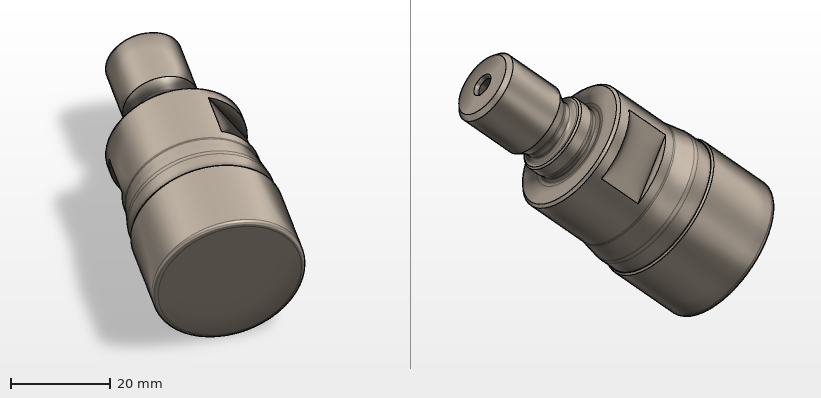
import cadquery as cq
import math


stud_radius = 8.0
stud_length = 14.0
stud_chamfer = 1.0

neck_radius = 6.5
neck_cone_angle = math.radians(30)
neck_fillet = 1.0

collar_start = 19.0
collar_radius = 8.5
collar_chamfer = 0.4

relief_length = 2.0
relief_depth = 0.2
relief_face_depth = 0.1
relief_ramp_angle = math.radians(15)
relief_fillet = 0.6
relief_outer_radius = 9.75

flange_start = 24.0
flange_radius = 14.5
flange_chamfer = 0.6

taper_start = 39.35
taper_angle = math.radians(11)
taper_start_fillet = 2.0
shoulder_radius = 15.5
taper_end_fillet = 5.0

head_start = 48.5
head_radius = 16.0
head_chamfer = 0.4
head_end_fillet = 1.0
total_length = 66.0

flat_start = 27.0
flat_length = 10.0
across_flats = 24.0
flat_tilt = 30.0

hole_radius = 2.0
hole_mouth_radius = 2.5
hole_countersink_half_angle = math.radians(30)
hole_depth = 10.0
hole_tip_half_angle = math.radians(59)


def rounded_corner(profile, before, corner, after, radius):
    """Run the profile to a corner and replace the corner by a tangent arc."""
    corner_point = cq.Vector(*corner)
    to_before = (cq.Vector(*before) - corner_point).normalized()
    to_after = (cq.Vector(*after) - corner_point).normalized()
    half_angle = to_before.getAngle(to_after) / 2
    setback = radius / math.tan(half_angle)
    bisector = (to_before + to_after).normalized()
    middle_distance = radius / math.sin(half_angle) - radius
    arc_start = corner_point + to_before * setback
    arc_middle = corner_point + bisector * middle_distance
    arc_end = corner_point + to_after * setback
    return profile.lineTo(arc_start.x, arc_start.y).threePointArc(
        (arc_middle.x, arc_middle.y), (arc_end.x, arc_end.y)
    )


def make_body():
    """Revolve the half profile (X along the axis, Y as radius)."""
    stud_end = (stud_length, stud_radius)
    neck_cone_length = (stud_radius - neck_radius) / math.tan(neck_cone_angle)
    neck_start = (stud_length + neck_cone_length, neck_radius)
    neck_end = (collar_start, neck_radius)
    collar_edge = (collar_start, collar_radius - collar_chamfer)

    relief_radius = collar_radius - relief_depth
    relief_start = flange_start - relief_length
    relief_ramp_length = relief_depth / math.tan(relief_ramp_angle)
    relief_wall = flange_start + relief_face_depth
    ramp_start = (relief_start, collar_radius)
    ramp_end = (relief_start + relief_ramp_length, relief_radius)
    relief_corner = (relief_wall, relief_radius)
    relief_arc_end = (relief_wall, relief_radius + relief_fillet)

    taper_length = (shoulder_radius - flange_radius) / math.tan(taper_angle)
    flange_edge = (flange_start + flange_chamfer, flange_radius)
    taper_foot = (taper_start, flange_radius)
    taper_top = (taper_start + taper_length, shoulder_radius)
    shoulder_end = (head_start, shoulder_radius)

    head_edge = (head_start + head_chamfer, head_radius)
    head_corner = (total_length, head_radius)
    end_centre = (total_length, 0)

    profile = (
        cq.Workplane("XY")
        .lineTo(0, stud_radius - stud_chamfer)
        .lineTo(stud_chamfer, stud_radius)
        .lineTo(*stud_end)
    )
    profile = rounded_corner(profile, stud_end, neck_start, neck_end, neck_fillet)
    profile = rounded_corner(profile, neck_start, neck_end, collar_edge, neck_fillet)
    profile = (
        profile.lineTo(*collar_edge)
        .lineTo(collar_start + collar_chamfer, collar_radius)
        .lineTo(*ramp_start)
    )
    profile = rounded_corner(profile, ramp_start, ramp_end, relief_corner, relief_fillet)
    profile = rounded_corner(profile, ramp_end, relief_corner, relief_arc_end, relief_fillet)
    profile = (
        profile.lineTo(flange_start, relief_outer_radius)
        .lineTo(flange_start, flange_radius - flange_chamfer)
        .lineTo(*flange_edge)
    )
    profile = rounded_corner(profile, flange_edge, taper_foot, taper_top, taper_start_fillet)
    profile = rounded_corner(profile, taper_foot, taper_top, shoulder_end, taper_end_fillet)
    profile = (
        profile.lineTo(*shoulder_end)
        .lineTo(head_start, head_radius - head_chamfer)
        .lineTo(*head_edge)
    )
    profile = rounded_corner(profile, head_edge, head_corner, end_centre, head_end_fillet)
    return profile.lineTo(*end_centre).close().revolve(360, (0, 0, 0), (1, 0, 0))


def make_centre_hole():
    """Countersunk blind hole with a drill-point bottom."""
    countersink_depth = (hole_mouth_radius - hole_radius) / math.tan(hole_countersink_half_angle)
    tip_length = hole_radius / math.tan(hole_tip_half_angle)
    return (
        cq.Workplane("XY")
        .lineTo(0, hole_mouth_radius)
        .lineTo(countersink_depth, hole_radius)
        .lineTo(hole_depth, hole_radius)
        .lineTo(hole_depth + tip_length, 0)
        .close()
        .revolve(360, (0, 0, 0), (1, 0, 0))
    )


def make_flat_cutter(side):
    """Block outside one wrench flat; side is -1 or +1 along the tilted Y axis."""
    cutter_width = 2 * flange_radius
    cutter_thickness = flange_radius
    return (
        cq.Workplane("XY")
        .box(flat_length, cutter_thickness, cutter_width)
        .translate((
            flat_start + flat_length / 2,
            side * (across_flats + cutter_thickness) / 2,
            0,
        ))
        .rotate((0, 0, 0), (1, 0, 0), flat_tilt)
    )


result = make_body().cut(make_centre_hole())
for flat_side in (-1, 1):
    result = result.cut(make_flat_cutter(flat_side))